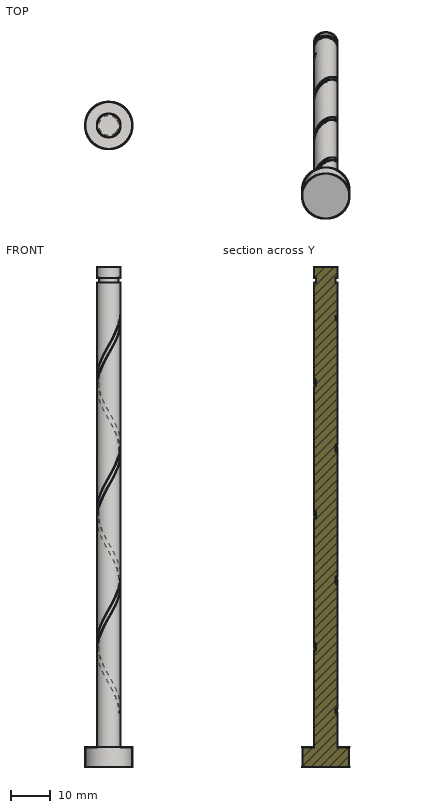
import cadquery as cq

total_length = 126.3
head_diameter = 12.0
head_height = 5.0
rod_radius = head_diameter / 4

tip_length = 2.8
ring_groove_width = 1.1
ring_groove_depth = 0.5

helix_pitch = 33.3
helix_turns = 3
helix_start = 13.8
helix_groove_radius = 0.5


def make_pin():
    head = cq.Workplane("XY").circle(head_diameter / 2).extrude(head_height)
    rod = cq.Workplane("XY").circle(rod_radius).extrude(total_length)
    return head.union(rod)


def make_ring_groove():
    bottom = total_length - tip_length - ring_groove_width
    return (
        cq.Workplane("XY", origin=(0, 0, bottom))
        .circle(head_diameter / 2)
        .circle(rod_radius - ring_groove_depth)
        .extrude(ring_groove_width)
    )


def make_helical_groove():
    helix = cq.Wire.makeHelix(helix_pitch, helix_pitch * helix_turns, rod_radius)
    path = cq.Workplane("XY").add(helix.translate(cq.Vector(0, 0, helix_start)))
    start_plane = cq.Plane(
        origin=(rod_radius, 0, helix_start),
        xDir=(1, 0, 0),
        normal=helix.tangentAt(0).toTuple(),
    )
    return cq.Workplane(start_plane).circle(helix_groove_radius).sweep(path, isFrenet=True)


result = make_pin().cut(make_ring_groove()).cut(make_helical_groove())